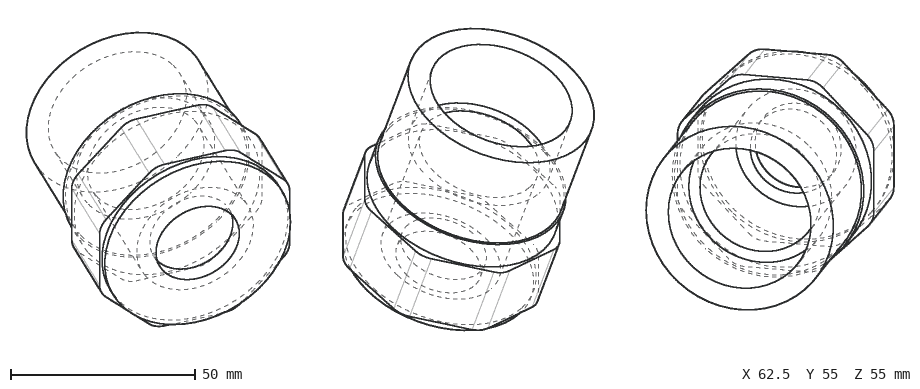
import cadquery as cq
import math

total_length = 62.5
spigot_length = 30.2
collar_end = 38.55
nut_end = 60.25

spigot_diameter = 52.5
collar_diameter = 53.75
nut_across_flats = 55.0
nut_sides = 8
nut_corner_radius = 6.25

socket_diameter = 40.0
socket_depth = 22.0
recess_diameter = 33.75
bore_diameter = 24.1
lip_slope_angle = 30.0
lip_height = (recess_diameter - bore_diameter) / 2 * math.tan(math.radians(lip_slope_angle))
lip_base = nut_end


def cylinder(diameter, start, end):
    """Solid cylinder on the X axis between two X positions."""
    return cq.Workplane("YZ", origin=(start, 0, 0)).circle(diameter / 2).extrude(end - start)


def octagonal_nut():
    """Octagon with rounded corners and flats facing Y and Z."""
    return (
        cq.Workplane("YZ", origin=(collar_end, 0, 0))
        .polygon(nut_sides, nut_across_flats, circumscribed=True)
        .extrude(nut_end - collar_end)
        .edges("|X")
        .fillet(nut_corner_radius)
    )


def stepped_bore():
    """Socket, recess around a raised conical lip, and through hole, as a solid of revolution about X."""
    return (
        cq.Workplane("XY")
        .moveTo(0, 0)
        .lineTo(0, socket_diameter / 2)
        .lineTo(socket_depth, socket_diameter / 2)
        .lineTo(socket_depth, recess_diameter / 2)
        .lineTo(lip_base, recess_diameter / 2)
        .lineTo(lip_base - lip_height, bore_diameter / 2)
        .lineTo(total_length, bore_diameter / 2)
        .lineTo(total_length, 0)
        .close()
        .revolve(360, (0, 0, 0), (1, 0, 0))
    )


spigot = cylinder(spigot_diameter, 0, spigot_length)
collar = cylinder(collar_diameter, spigot_length, collar_end)
end_ring = cylinder(collar_diameter, nut_end, total_length)

result = spigot.union(collar).union(octagonal_nut()).union(end_ring).cut(stepped_bore())